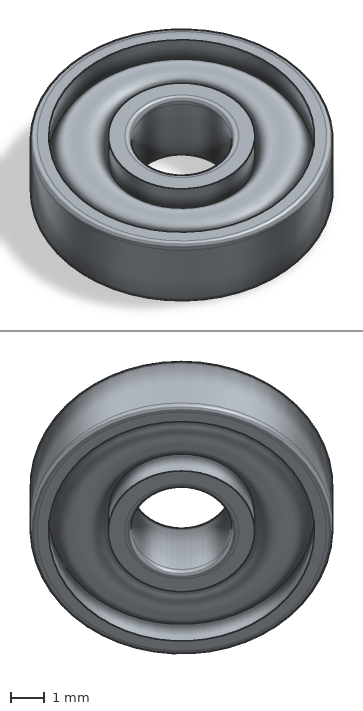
import cadquery as cq

outer_diameter = 9.0
bore_diameter = 3.0
width = 2.5
edge_radius = 0.2

inner_ring_diameter = 4.35
outer_ring_bore = 7.9

tube_radius = 0.94
pitch_radius = (inner_ring_diameter + outer_ring_bore) / 4


def make_torus():
    """Torus round the bearing axis, used as a body and as the groove cutter."""
    return cq.Workplane("XZ").center(pitch_radius, 0).circle(tube_radius).revolve(
        360, (-pitch_radius, 0), (-pitch_radius, 1)
    )


def make_blank(diameter, hole_diameter):
    """Plain ring of the full bearing width, centred on the middle plane."""
    blank = cq.Workplane("XY").circle(diameter / 2).circle(hole_diameter / 2).extrude(width)
    return blank.translate((0, 0, -width / 2))


def make_inner_ring():
    """Inner ring with rounded bore edges and a raceway in its outer wall."""
    ring = make_blank(inner_ring_diameter, bore_diameter)
    bore_edges = cq.selectors.RadiusNthSelector(0)
    return ring.edges(bore_edges).fillet(edge_radius).cut(make_torus())


def make_outer_ring():
    """Outer ring with rounded rim edges and a raceway in its inner wall."""
    ring = make_blank(outer_diameter, outer_ring_bore)
    rim_edges = cq.selectors.RadiusNthSelector(-1)
    return ring.edges(rim_edges).fillet(edge_radius).cut(make_torus())


inner_ring = make_inner_ring()
outer_ring = make_outer_ring()
rolling_torus = make_torus()

result = cq.Compound.makeCompound(
    [inner_ring.solids().val(), outer_ring.solids().val(), rolling_torus.val()]
)